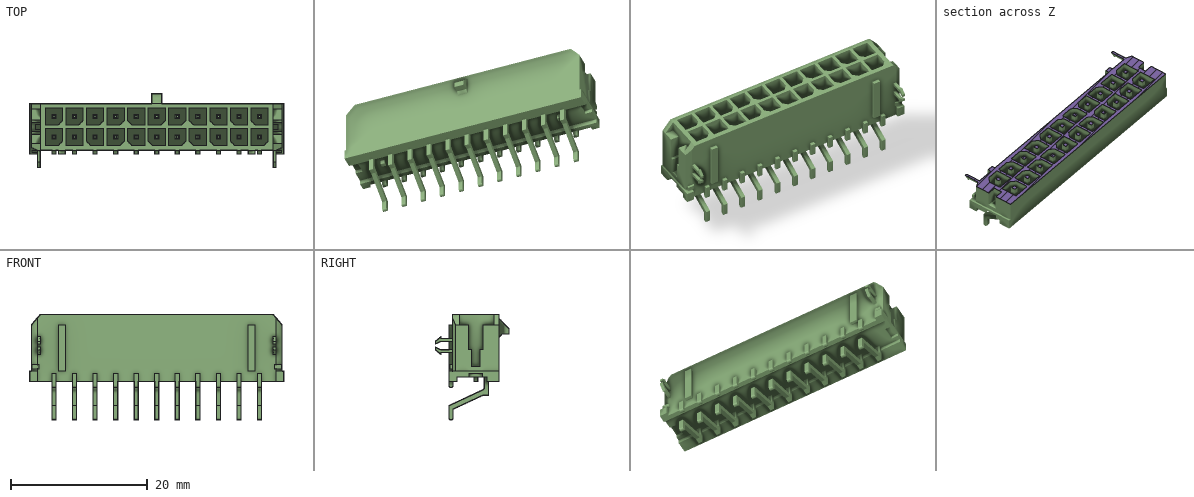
import cadquery as cq
import math


BODY_HEIGHT = 9.85
BODY_HALF_DEPTH = 3.4
BODY_HALF_LENGTH = 16.98
EAR_HALF_LENGTH = 18.3
BASE_HALF_LENGTH = 18.58
BASE_HEIGHT = 1.55
FRONT_STANDOFF = 0.52
FRONT_Y = -BODY_HALF_DEPTH
SEAT_Y = FRONT_Y - FRONT_STANDOFF
UNDERCUT_HEIGHT = 0.67
UNDERCUT_BACK_WALL = 1.8
UNDERCUT_FRONT_WALL = 0.7
OVERLAP = 0.2

COLUMNS = 11
ROW_SPAN = 30.0
PITCH = ROW_SPAN / (COLUMNS - 1)
ROW_CENTRE_Y = 0.05
BACK_ROW_Y = ROW_CENTRE_Y + PITCH / 2
FRONT_ROW_Y = ROW_CENTRE_Y - PITCH / 2
CONTACT_WIDTH = 0.65
CONTACT_TIP_WIDTH = 0.3
CONTACT_TIP_LENGTH = 0.55
CONTACT_TOP = 7.43
CAVITY_SIZE = 2.53
CAVITY_FLOOR = 2.23
KEY_CHAMFER = 0.67
KEYS_BACK = "RRRRLRRLLLL"
KEYS_FRONT = "R-LRLLRLLLR"
LEAD_ROUNDING = 0.3

BACK_LEAD_BOTTOM = -5.57
BACK_LEAD_HEEL = -2.0
BACK_LEAD_INNER_BEND = -1.08
BACK_LEAD_UPPER_KNEE = -3.5
BACK_LEAD_LOWER_KNEE = -4.0
BACK_LEAD_HEEL_LENGTH = 0.85

FRONT_LEAD_TOP = 1.23
FRONT_LEAD_BOTTOM = -0.85

EAR_CORNER_TOP = 8.3
EAR_BACK_WALL = 0.78
EAR_FRONT_WALL = 1.0
EAR_FRONT_CHAMFER_LENGTH = 0.9
EAR_FRONT_CHAMFER_DEPTH = 0.45
SLOT_WIDE = 2.1
SLOT_NARROW = 1.25
SLOT_SHOULDER = 4.7
SLOT_FLOOR = 2.23
SLOT_NOTCH_WIDTH = 0.78
SLOT_NOTCH_LENGTH = 0.7
END_RECESS_WIDTH = 1.95
END_RECESS_HEIGHT = 0.55
END_RECESS_DEPTH = 1.1

PRONG_INNER_X = BODY_HALF_LENGTH
PRONG_THICKNESS = 0.45
PRONG_TIP_REACH = 2.5
PRONG_BARB_REACH = 1.67
PRONG_CENTRE_Z = 5.28
PRONG_INNER_OFFSET = 0.6
PRONG_OUTER_OFFSET = 1.05
PRONG_BARB_OFFSET = 1.3
PRONG_TIP_INNER_OFFSET = 0.22
PRONG_TIP_OUTER_OFFSET = 0.65
TAB_OUTER_X = 18.25
TAB_ROUND_X = 17.5
TAB_BOTTOM = 1.9
TAB_TOP = 2.5
TAB_REACH = 0.35

RIB_X = 13.85
RIB_WIDTH = 1.05
RIB_BOTTOM = BASE_HEIGHT
RIB_TOP = EAR_CORNER_TOP
PEG_SIZE = 0.6
LATCH_WIDTH = 1.5
LATCH_REACH = 1.45
LATCH_TOP = 9.2
LATCH_NOSE_TOP = 7.73
LATCH_NOSE_BOTTOM = 6.95
LATCH_NECK_REACH = 0.4
LATCH_BOTTOM = 6.45


def block(x_range, y_range, z_range):
    """Axis-aligned box between pairs of limits."""
    (x0, x1), (y0, y1), (z0, z1) = x_range, y_range, z_range
    return cq.Workplane("XY").box(x1 - x0, y1 - y0, z1 - z0, centered=False).translate((x0, y0, z0))


def side_profile(points, x_start, width):
    """Extrude a closed (y, z) outline along +X."""
    return cq.Workplane("YZ", origin=(x_start, 0, 0)).polyline(points).close().extrude(width)


def column_x(column):
    """X position of a contact column, counted from the -X end."""
    return (column - (COLUMNS - 1) / 2) * PITCH


def make_housing():
    """Core and ear blocks with sloped upper corners."""
    outline = [
        (-EAR_HALF_LENGTH, 0),
        (EAR_HALF_LENGTH, 0),
        (EAR_HALF_LENGTH, EAR_CORNER_TOP),
        (BODY_HALF_LENGTH, BODY_HEIGHT),
        (-BODY_HALF_LENGTH, BODY_HEIGHT),
        (-EAR_HALF_LENGTH, EAR_CORNER_TOP),
    ]
    back_plane = cq.Workplane("XZ", origin=(0, BODY_HALF_DEPTH, 0))
    return back_plane.polyline(outline).close().extrude(2 * BODY_HALF_DEPTH)


def make_ear_cuts():
    """Material removed from the ear at the +X end."""
    open_x = (BODY_HALF_LENGTH, BASE_HALF_LENGTH)
    top = block(
        open_x,
        (FRONT_Y + EAR_FRONT_WALL, BODY_HALF_DEPTH - EAR_BACK_WALL),
        (EAR_CORNER_TOP, BODY_HEIGHT),
    )
    wide = block(open_x, (-SLOT_WIDE / 2, SLOT_WIDE / 2), (SLOT_SHOULDER, BODY_HEIGHT))
    narrow = block(open_x, (-SLOT_NARROW / 2, SLOT_NARROW / 2), (SLOT_FLOOR, BODY_HEIGHT))
    notch = block(
        (BODY_HALF_LENGTH, BODY_HALF_LENGTH + SLOT_NOTCH_LENGTH),
        (-SLOT_NOTCH_WIDTH / 2, SLOT_NOTCH_WIDTH / 2),
        (BASE_HEIGHT, SLOT_FLOOR),
    )
    corner = (
        cq.Workplane("XY")
        .moveTo(EAR_HALF_LENGTH, FRONT_Y)
        .lineTo(EAR_HALF_LENGTH - EAR_FRONT_CHAMFER_LENGTH, FRONT_Y)
        .lineTo(EAR_HALF_LENGTH, FRONT_Y + EAR_FRONT_CHAMFER_DEPTH)
        .close()
        .extrude(BODY_HEIGHT)
    )
    return top.union(wide).union(narrow).union(notch).union(corner)


def make_end_foot():
    """Base block at the +X end, reaching forward to the board seat."""
    inner_x = EAR_HALF_LENGTH - EAR_FRONT_CHAMFER_LENGTH
    return block((inner_x, BASE_HALF_LENGTH), (SEAT_Y, BODY_HALF_DEPTH), (0, BASE_HEIGHT))


def make_end_recess():
    """Pocket in the +X end of the base, above the undercut."""
    return block(
        (BASE_HALF_LENGTH - END_RECESS_DEPTH, BASE_HALF_LENGTH),
        (-END_RECESS_WIDTH / 2, END_RECESS_WIDTH / 2),
        (UNDERCUT_HEIGHT, UNDERCUT_HEIGHT + END_RECESS_HEIGHT),
    )


def make_undercut():
    """Channel along the whole underside."""
    return block(
        (-BASE_HALF_LENGTH, BASE_HALF_LENGTH),
        (FRONT_Y + UNDERCUT_FRONT_WALL, BODY_HALF_DEPTH - UNDERCUT_BACK_WALL),
        (0, UNDERCUT_HEIGHT),
    )


def make_cavity(x, y, key):
    """Contact cavity, open at the top, with an optional keyed front corner."""
    depth = BODY_HEIGHT - CAVITY_FLOOR
    cavity = cq.Workplane("XY").rect(CAVITY_SIZE, CAVITY_SIZE).extrude(depth)
    front_corners = {"R": ">X and <Y", "L": "<X and <Y"}
    if key in front_corners:
        cavity = cavity.edges("|Z").edges(front_corners[key]).chamfer(KEY_CHAMFER)
    return cavity.translate((x, y, CAVITY_FLOOR))


def make_contact_pin(x, y):
    """Square pin with a tapered tip, rooted in the cavity floor."""
    root = CAVITY_FLOOR - OVERLAP
    shank_top = CONTACT_TOP - CONTACT_TIP_LENGTH
    shank = cq.Workplane("XY").rect(CONTACT_WIDTH, CONTACT_WIDTH).extrude(shank_top - root)
    tip = (
        cq.Workplane("XY", origin=(0, 0, shank_top - root))
        .rect(CONTACT_WIDTH, CONTACT_WIDTH)
        .workplane(offset=CONTACT_TIP_LENGTH)
        .rect(CONTACT_TIP_WIDTH, CONTACT_TIP_WIDTH)
        .loft(ruled=True)
    )
    return shank.union(tip).translate((x, y, root))


def round_tip(lead):
    """Round the front and back edges of the lower end of a lead."""
    return lead.faces("<Z").edges("|X").fillet(LEAD_ROUNDING)


def make_back_lead(x):
    """Lead that drops below the back row, slopes forward and ends in a vertical foot."""
    front_face = BACK_ROW_Y - CONTACT_WIDTH / 2
    back_face = BACK_ROW_Y + CONTACT_WIDTH / 2
    foot_back = SEAT_Y + CONTACT_WIDTH
    root = UNDERCUT_HEIGHT + OVERLAP
    outline = [
        (back_face, root),
        (front_face, root),
        (front_face, BACK_LEAD_INNER_BEND),
        (SEAT_Y, BACK_LEAD_UPPER_KNEE),
        (SEAT_Y, BACK_LEAD_BOTTOM),
        (foot_back, BACK_LEAD_BOTTOM),
        (foot_back, BACK_LEAD_LOWER_KNEE),
        (back_face - BACK_LEAD_HEEL_LENGTH, BACK_LEAD_HEEL),
        (back_face, BACK_LEAD_HEEL),
    ]
    lead = side_profile(outline, x - CONTACT_WIDTH / 2, CONTACT_WIDTH)
    inner_bend = cq.selectors.NearestToPointSelector((x, front_face, BACK_LEAD_INNER_BEND))
    return round_tip(lead).edges("|X").edges(inner_bend).fillet(LEAD_ROUNDING)


def make_front_lead(x):
    """Short vertical lead against the front face."""
    back_face = SEAT_Y + CONTACT_WIDTH
    outline = [
        (back_face, FRONT_LEAD_TOP),
        (SEAT_Y, FRONT_LEAD_TOP),
        (SEAT_Y, FRONT_LEAD_BOTTOM),
        (back_face, FRONT_LEAD_BOTTOM),
    ]
    return round_tip(side_profile(outline, x - CONTACT_WIDTH / 2, CONTACT_WIDTH))


def make_prong(direction):
    """Barbed clip prong at the +X end; direction +1 is the upper prong, -1 the lower."""
    profile = [
        (-OVERLAP, PRONG_INNER_OFFSET),
        (PRONG_BARB_REACH, PRONG_INNER_OFFSET),
        (PRONG_TIP_REACH, PRONG_TIP_INNER_OFFSET),
        (PRONG_TIP_REACH, PRONG_TIP_OUTER_OFFSET),
        (PRONG_BARB_REACH, PRONG_BARB_OFFSET),
        (PRONG_BARB_REACH, PRONG_OUTER_OFFSET),
        (-OVERLAP, PRONG_OUTER_OFFSET),
    ]
    outline = [(FRONT_Y - reach, PRONG_CENTRE_Z + direction * offset) for reach, offset in profile]
    return side_profile(outline, PRONG_INNER_X, PRONG_THICKNESS)


def make_tab():
    """Small tab in front of the ear at the +X end, with a rounded inner end."""
    face_y = FRONT_Y - TAB_REACH
    arc_offset = TAB_REACH * math.sqrt(0.5)
    return (
        cq.Workplane("XY", origin=(0, 0, TAB_BOTTOM))
        .moveTo(TAB_OUTER_X, FRONT_Y)
        .lineTo(TAB_OUTER_X, face_y)
        .lineTo(TAB_ROUND_X, face_y)
        .threePointArc(
            (TAB_ROUND_X - arc_offset, FRONT_Y - arc_offset),
            (TAB_ROUND_X - TAB_REACH, FRONT_Y),
        )
        .close()
        .extrude(TAB_TOP - TAB_BOTTOM)
    )


def make_rib():
    """Vertical stand-off rib on the front face, on the +X side."""
    return block(
        (RIB_X - RIB_WIDTH / 2, RIB_X + RIB_WIDTH / 2),
        (SEAT_Y, FRONT_Y + OVERLAP),
        (RIB_BOTTOM, RIB_TOP),
    )


def make_peg():
    """Square peg in the underside channel, on the +X side."""
    return block(
        (RIB_X - PEG_SIZE / 2, RIB_X + PEG_SIZE / 2),
        (-PEG_SIZE / 2, PEG_SIZE / 2),
        (0, UNDERCUT_HEIGHT + OVERLAP),
    )


def make_latch():
    """Ramped latch nose on the back face."""
    nose_y = BODY_HALF_DEPTH + LATCH_REACH
    outline = [
        (BODY_HALF_DEPTH - OVERLAP, LATCH_TOP),
        (BODY_HALF_DEPTH, LATCH_TOP),
        (nose_y, LATCH_NOSE_TOP),
        (nose_y, LATCH_NOSE_BOTTOM),
        (BODY_HALF_DEPTH + LATCH_NECK_REACH, LATCH_NOSE_BOTTOM),
        (BODY_HALF_DEPTH, LATCH_BOTTOM),
        (BODY_HALF_DEPTH - OVERLAP, LATCH_BOTTOM),
    ]
    return side_profile(outline, -LATCH_WIDTH / 2, LATCH_WIDTH)


def both_ends(shape):
    """The shape together with its mirror image at the -X end."""
    return shape.union(shape.mirror("YZ"))


result = make_housing().cut(both_ends(make_ear_cuts()))
result = result.union(both_ends(make_end_foot()))
result = result.cut(make_undercut())
result = result.cut(both_ends(make_end_recess()))
result = result.union(make_latch())
for feature in (make_prong(1), make_prong(-1), make_tab(), make_rib(), make_peg()):
    result = result.union(both_ends(feature))

cavities = cq.Workplane()
contacts = cq.Workplane()
for row_y, row_keys, make_lead in (
    (BACK_ROW_Y, KEYS_BACK, make_back_lead),
    (FRONT_ROW_Y, KEYS_FRONT, make_front_lead),
):
    for column, key in enumerate(row_keys):
        x = column_x(column)
        cavities.add(make_cavity(x, row_y, key))
        contacts.add(make_contact_pin(x, row_y))
        contacts.add(make_lead(x))
result = result.cut(cavities).union(contacts)